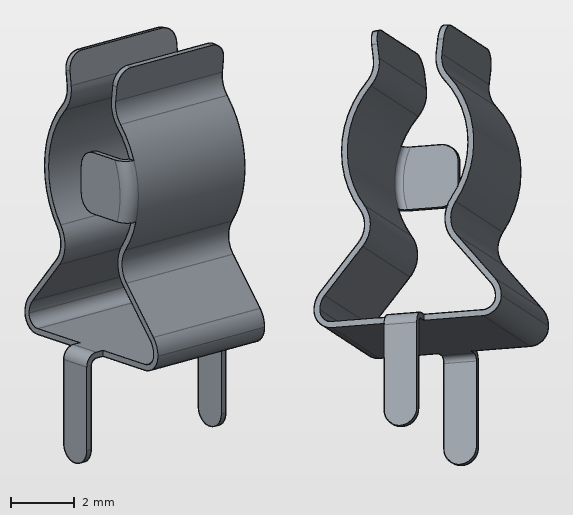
import cadquery as cq
import math

height = 13.03
width = 6.2
depth = 5.86
sheet = 0.2
half_sheet = sheet / 2
strip_width = 4.5
corner_radius = 0.56

base_bottom = 3.48
base_middle = base_bottom + half_sheet
leg_width = 1.08
leg_bend_outer = 0.4
leg_bend_inner = leg_bend_outer - sheet
leg_tip_radius = 0.53

lower_corner_radius = 0.51
base_half_length = width / 2 - half_sheet - lower_corner_radius
upper_corner_radius = 0.78
shoulder_angle = 40.3
shoulder_length = 1.94
waist_radius = 0.98
waist_angle = 35.3
jaw_radius = 3.17
neck_angle = 41.8
neck_radius = 1.0
tip_angle = 6.8
jaw_stretch = 5

finger_bottom = 8.23
finger_height = 2.01
finger_end_x = -0.03
finger_bend_outer = 0.4
finger_bend_inner = finger_bend_outer - sheet


def shifted(point, heading, distance):
    """Move a point (x, z) to the left of its heading."""
    x, z = point
    return x - distance * math.sin(heading), z + distance * math.cos(heading)


def line_step(state, length):
    """Straight stretch: a list with its start and end states (point, heading)."""
    (x, z), heading = state
    end = (x + length * math.cos(heading), z + length * math.sin(heading))
    return [state, (end, heading)]


def arc_step(state, radius, degrees):
    """Bend, positive to the left: a list with its start, middle and end states."""
    point, heading = state
    side = math.copysign(radius, degrees)
    center = shifted(point, heading, side)
    states = [state]
    for fraction in (0.5, 1.0):
        new_heading = heading + math.radians(degrees) * fraction
        states.append((shifted(center, new_heading, -side), new_heading))
    return states


def arm_path():
    """Stretches of the +X arm, from the middle of the base up to the tip."""
    path = [line_step(((0.0, base_middle), 0.0), base_half_length)]
    path.append(arc_step(path[-1][-1], lower_corner_radius, 90))
    path.append(arc_step(path[-1][-1], upper_corner_radius, shoulder_angle))
    path.append(line_step(path[-1][-1], shoulder_length))
    path.append(arc_step(path[-1][-1], waist_radius, -(shoulder_angle + waist_angle)))
    path.append(arc_step(path[-1][-1], jaw_radius, waist_angle + neck_angle))
    path.append(arc_step(path[-1][-1], neck_radius, -(neck_angle + tip_angle)))
    (_, z), heading = path[-1][-1]
    rise = height - half_sheet * math.cos(heading) - z
    path.append(line_step(path[-1][-1], rise / math.sin(heading)))
    return path


def draw_stretch(wire, states, offset):
    points = [shifted(point, heading, offset) for point, heading in states]
    if len(points) == 2:
        return wire.lineTo(*points[1])
    return wire.threePointArc(points[1], points[2])


def make_arm(path):
    """Arm of constant sheet thickness with its two tip corners rounded."""
    start_point, start_heading = path[0][0]
    end_point, end_heading = path[-1][-1]
    wire = cq.Workplane("XZ").moveTo(*shifted(start_point, start_heading, -half_sheet))
    for states in path:
        wire = draw_stretch(wire, states, -half_sheet)
    wire = wire.lineTo(*shifted(end_point, end_heading, half_sheet))
    for states in reversed(path):
        wire = draw_stretch(wire, states[::-1], half_sheet)
    arm = wire.close().extrude(strip_width / 2, both=True)

    tip_corners = cq.selectors.BoxSelector(
        (end_point[0] - sheet, -strip_width, end_point[1] - sheet),
        (end_point[0] + sheet, strip_width, end_point[1] + sheet),
    )
    return arm.edges(tip_corners).edges("not(|Y)").fillet(corner_radius)


def quarter_bend_middle(center, radius, u_side, v_side):
    """Point halfway round a quarter bend, in the quadrant given by the two signs."""
    diagonal = radius * math.sqrt(0.5)
    return center[0] + u_side * diagonal, center[1] + v_side * diagonal


def make_leg():
    """Leg on the -Y side, bent down from the base plate."""
    outer_y = -depth / 2
    bend_start_y = outer_y + leg_bend_outer
    base_top = base_bottom + sheet
    bend_bottom = base_top - leg_bend_outer
    bend_center = (bend_start_y, bend_bottom)
    leg = (
        cq.Workplane("YZ")
        .moveTo(0, base_bottom)
        .lineTo(0, base_top)
        .lineTo(bend_start_y, base_top)
        .threePointArc(
            quarter_bend_middle(bend_center, leg_bend_outer, -1, 1),
            (outer_y, bend_bottom),
        )
        .lineTo(outer_y, 0)
        .lineTo(outer_y + sheet, 0)
        .lineTo(outer_y + sheet, bend_bottom)
        .threePointArc(
            quarter_bend_middle(bend_center, leg_bend_inner, -1, 1),
            (bend_start_y, base_bottom),
        )
        .close()
        .extrude(leg_width / 2, both=True)
    )
    return leg.faces("<Z").edges("|Y").fillet(leg_tip_radius)


def make_finger(path):
    """Finger that curls from the jaw edge: a dish turned about the jaw axis, trimmed to outline."""
    jaw_start, jaw_heading = path[jaw_stretch][0]
    axis_x, axis_z = shifted(jaw_start, jaw_heading, jaw_radius)
    outer_radius = jaw_radius + half_sheet
    inner_radius = jaw_radius - half_sheet
    edge_y = -strip_width / 2
    front_y = edge_y - finger_bend_outer
    bend_radius_start = outer_radius - finger_bend_outer
    bend_center = (bend_radius_start, edge_y)
    dish = (
        cq.Workplane("XY")
        .moveTo(0, front_y)
        .lineTo(bend_radius_start, front_y)
        .threePointArc(
            quarter_bend_middle(bend_center, finger_bend_outer, 1, -1),
            (outer_radius, edge_y),
        )
        .lineTo(inner_radius, edge_y)
        .threePointArc(
            quarter_bend_middle(bend_center, finger_bend_inner, 1, -1),
            (bend_radius_start, front_y + sheet),
        )
        .lineTo(0, front_y + sheet)
        .close()
        .revolve(360, (0, 0, 0), (0, 1, 0))
        .translate((axis_x, 0, axis_z))
    )
    outline = (
        cq.Workplane("XY")
        .box(outer_radius, depth, finger_height, centered=(False, True, False))
        .translate((finger_end_x, 0, finger_bottom))
        .edges("<X and |Y")
        .fillet(corner_radius)
    )
    return dish.intersect(outline)


path = arm_path()
arm = make_arm(path)
leg = make_leg()
result = (
    arm.union(arm.mirror("YZ"))
    .union(leg)
    .union(leg.mirror("XZ"))
    .union(make_finger(path))
)